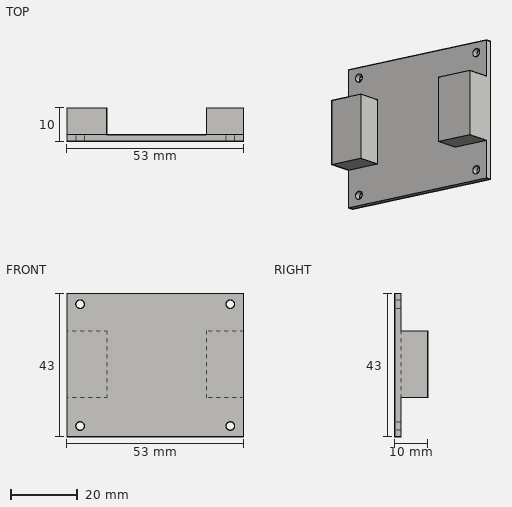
import cadquery as cq

plate_width = 53.0
plate_height = 43.0
plate_thickness = 2.0

hole_diameter = 2.5
hole_side_margin = 4.0
hole_end_margin = 3.25

block_depth = 8.0
block_height = 20.0
block_bottom = 11.72
left_block_width = 12.0
right_block_width = 11.15


def make_plate():
    return cq.Workplane("XY").box(plate_width, plate_thickness, plate_height, centered=False)


def make_block(left_edge, width):
    block = cq.Workplane("XY").box(width, block_depth, block_height, centered=False)
    return block.translate((left_edge, plate_thickness, block_bottom))


def make_hole(x, z):
    hole = cq.Workplane("XZ").circle(hole_diameter / 2).extrude(-plate_thickness)
    return hole.translate((x, 0, z))


result = make_plate()
result = result.union(make_block(0, left_block_width))
result = result.union(make_block(plate_width - right_block_width, right_block_width))

for hole_x in (hole_side_margin, plate_width - hole_side_margin):
    for hole_z in (hole_end_margin, plate_height - hole_end_margin):
        result = result.cut(make_hole(hole_x, hole_z))